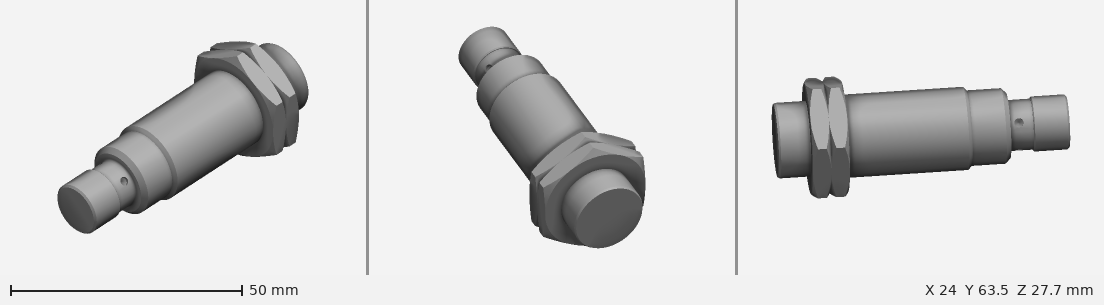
import cadquery as cq
import math

total_length = 63.5

plug_radius = 6.0
plug_length = 7.9
plug_tip_chamfer = 0.45
plug_back_chamfer = 0.25
neck_radius = 5.5
neck_fillet = 0.45

sleeve_radius = 8.2
sleeve_start = 12.95
sleeve_chamfer = 1.1
barrel_radius = 9.0
barrel_start = 22.2
rear_edge_chamfer_length = 0.45
rear_edge_chamfer_depth = 0.25

nut_across_flats = 24.0
nut_thickness = 4.0
nut_count = 2
nut_start = 48.5
nut_chamfer_angle = 30.0

hole_diameter = 2.0
hole_depth = 0.65
hole_tip_angle = 118.0
hole_position = 11.0
hole_count = 4
first_hole_angle = 45.0


def revolve_about_y(profile):
    return profile.close().revolve(360, (0, 0, 0), (0, 1, 0))


def make_body():
    """Stepped round body from the plug tip to the sensing face."""
    shoulder = barrel_radius - sleeve_radius
    nuts_end = nut_start + nut_count * nut_thickness
    fillet_start = sleeve_start - neck_fillet
    fillet_mid = neck_fillet * (1 - math.sqrt(0.5))
    profile = (
        cq.Workplane("XY")
        .lineTo(plug_radius - plug_tip_chamfer, 0)
        .lineTo(plug_radius, plug_tip_chamfer)
        .lineTo(plug_radius, plug_length - plug_back_chamfer)
        .lineTo(plug_radius - plug_back_chamfer, plug_length)
        .lineTo(neck_radius, plug_length)
        .lineTo(neck_radius, fillet_start)
        .threePointArc(
            (neck_radius + fillet_mid, sleeve_start - fillet_mid),
            (neck_radius + neck_fillet, sleeve_start),
        )
        .lineTo(sleeve_radius - sleeve_chamfer, sleeve_start)
        .lineTo(sleeve_radius, sleeve_start + sleeve_chamfer)
        .lineTo(sleeve_radius, barrel_start - shoulder)
        .lineTo(barrel_radius, barrel_start)
        .lineTo(barrel_radius, nuts_end)
        .lineTo(sleeve_radius, nuts_end)
        .lineTo(sleeve_radius, total_length - rear_edge_chamfer_length)
        .lineTo(sleeve_radius - rear_edge_chamfer_depth, total_length)
        .lineTo(0, total_length)
    )
    return revolve_about_y(profile)


def make_nut(start):
    """Hexagonal nut with two corners on Z and both faces chamfered conically."""
    flat_radius = nut_across_flats / 2
    corner_radius = flat_radius / math.cos(math.radians(30))
    end = start + nut_thickness
    chamfer_length = (corner_radius - flat_radius) * math.tan(math.radians(nut_chamfer_angle))
    hexagon = (
        cq.Workplane("XZ", origin=(0, start, 0))
        .polygon(6, 2 * corner_radius)
        .extrude(-nut_thickness)
        .rotate((0, 0, 0), (0, 1, 0), 30)
    )
    chamfer_envelope = revolve_about_y(
        cq.Workplane("XY")
        .moveTo(0, start)
        .lineTo(flat_radius, start)
        .lineTo(corner_radius, start + chamfer_length)
        .lineTo(corner_radius, end - chamfer_length)
        .lineTo(flat_radius, end)
        .lineTo(0, end)
    )
    return hexagon.intersect(chamfer_envelope)


def make_hole(angle):
    """Drill-shaped cutter pointing from outside the neck towards its axis."""
    hole_radius = hole_diameter / 2
    floor = neck_radius - hole_depth
    tip = floor - hole_radius / math.tan(math.radians(hole_tip_angle / 2))
    cutter = (
        cq.Workplane("XZ")
        .moveTo(0, tip)
        .lineTo(hole_radius, floor)
        .lineTo(hole_radius, plug_radius)
        .lineTo(0, plug_radius)
        .close()
        .revolve(360, (0, 0, 0), (0, 1, 0))
    )
    return cutter.translate((0, hole_position, 0)).rotate((0, 0, 0), (0, 1, 0), angle)


result = make_body()
for index in range(nut_count):
    result = result.union(make_nut(nut_start + index * nut_thickness))
for index in range(hole_count):
    result = result.cut(make_hole(first_hole_angle + index * 360 / hole_count))